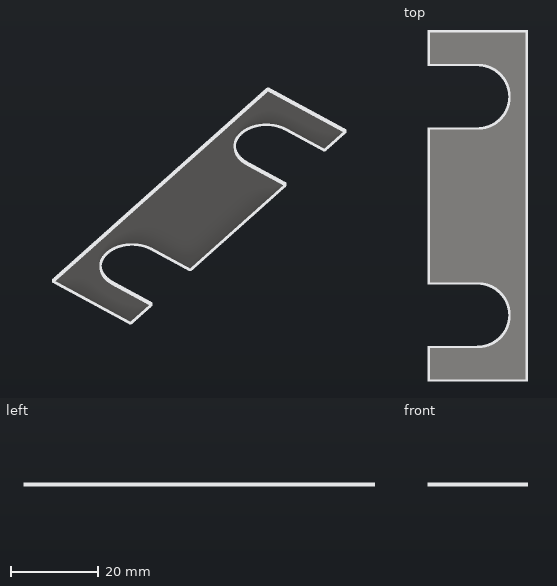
import cadquery as cq

plate_width = 22.5
plate_length = 80.0
plate_thickness = 0.5

slot_width = 14.5
slot_depth = 18.5
slot_spacing = 50.0

slot_radius = slot_width / 2
open_edge_x = -plate_width / 2
arc_center_x = open_edge_x + slot_depth - slot_radius


def open_slot(center_y):
    """Cutter for one slot running in from the -X edge to a half-round end."""
    low_y = center_y - slot_radius
    high_y = center_y + slot_radius
    return (
        cq.Workplane("XY", origin=(0, 0, -plate_thickness / 2))
        .moveTo(open_edge_x, low_y)
        .lineTo(arc_center_x, low_y)
        .threePointArc((arc_center_x + slot_radius, center_y), (arc_center_x, high_y))
        .lineTo(open_edge_x, high_y)
        .close()
        .extrude(plate_thickness)
    )


result = cq.Workplane("XY").box(plate_width, plate_length, plate_thickness)
for side in (-1, 1):
    result = result.cut(open_slot(side * slot_spacing / 2))